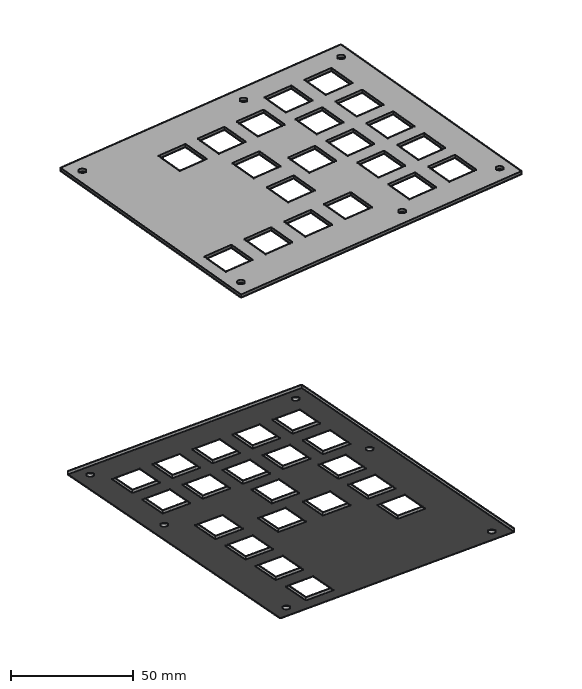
import cadquery as cq

PLATE_WIDTH = 118.62
PLATE_LENGTH = 145.85
PLATE_THICKNESS = 1.6

KEY_SIZE = 14.0

KEY_PITCH = 20.3
MAIN_COLUMNS = 5
MAIN_CENTRE_X = -0.55
UPPER_ROW_Y = 52.1
MAIN_ROW_PITCH = 20.8

LEFT_COLUMN_X = -34.35
LEFT_COLUMN_TOP_Y = 11.45
LEFT_COLUMN_KEYS = 3

ARROW_PAIR_CENTRE_X = -0.2
ARROW_PAIR_PITCH = 22.6

RIGHT_COLUMN_X = 35.2
RIGHT_COLUMN_TOP_Y = 1.75
RIGHT_COLUMN_PITCH = 20.7
RIGHT_COLUMN_KEYS = 4

HOLE_DIAMETER = 3.2
HOLE_SPACING_X = 104.1
HOLE_ROWS_Y = (67.25, 16.55, -67.25)


def main_block_centres():
    """Centres of the two full key rows."""
    first_x = MAIN_CENTRE_X - (MAIN_COLUMNS - 1) / 2 * KEY_PITCH
    columns = [first_x + i * KEY_PITCH for i in range(MAIN_COLUMNS)]
    rows = [UPPER_ROW_Y, UPPER_ROW_Y - MAIN_ROW_PITCH]
    return [(x, y) for y in rows for x in columns]


def column_centres(x, top_y, pitch, count):
    """Centres of a vertical column of keys, from the top down."""
    return [(x, top_y - i * pitch) for i in range(count)]


def arrow_centres():
    """Centres of the arrow keys, level with the first two keys of the left column."""
    pair_y = LEFT_COLUMN_TOP_Y - KEY_PITCH
    half_pitch = ARROW_PAIR_PITCH / 2
    return [
        (MAIN_CENTRE_X, LEFT_COLUMN_TOP_Y),
        (ARROW_PAIR_CENTRE_X - half_pitch, pair_y),
        (ARROW_PAIR_CENTRE_X + half_pitch, pair_y),
    ]


def hole_centres():
    """Centres of the mounting holes, mirrored about X = 0."""
    half_spacing = HOLE_SPACING_X / 2
    return [(x, y) for y in HOLE_ROWS_Y for x in (-half_spacing, half_spacing)]


def make_plate():
    """Plain rectangular plate."""
    return cq.Workplane("XY").box(PLATE_WIDTH, PLATE_LENGTH, PLATE_THICKNESS, centered=(True, True, False))


def cut_keys(plate):
    """Cut every square key opening through the plate."""
    centres = main_block_centres() + arrow_centres()
    centres += column_centres(LEFT_COLUMN_X, LEFT_COLUMN_TOP_Y, KEY_PITCH, LEFT_COLUMN_KEYS)
    centres += column_centres(RIGHT_COLUMN_X, RIGHT_COLUMN_TOP_Y, RIGHT_COLUMN_PITCH, RIGHT_COLUMN_KEYS)
    return plate.faces(">Z").workplane().pushPoints(centres).rect(KEY_SIZE, KEY_SIZE).cutThruAll()


def drill_mounting_holes(plate):
    """Drill the mounting holes through the plate."""
    return plate.faces(">Z").workplane().pushPoints(hole_centres()).hole(HOLE_DIAMETER)


result = drill_mounting_holes(cut_keys(make_plate()))